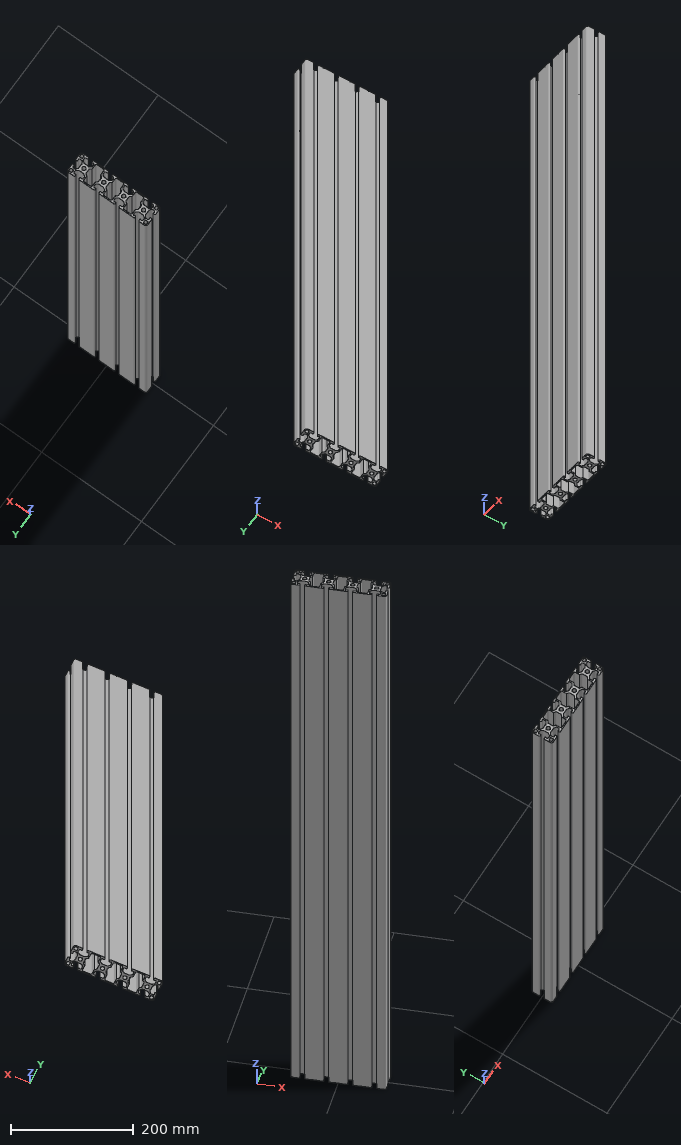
import cadquery as cq

width = 160.0
depth = 40.0
length = 1000.0
corner_radius = 4.0

pitch = depth
cell_count = round(width / pitch)
half_width = width / 2
half_depth = depth / 2
cell_centers = [(i - (cell_count - 1) / 2) * pitch for i in range(cell_count)]
hollow_centers = [(i - (cell_count - 2) / 2) * pitch for i in range(cell_count - 1)]

slot_opening = 8.2
slot_depth = 12.7
lip_tip_depth = 4.3
lip_root_depth = 3.5
cavity_width = 18.2
cavity_side_depth = 9.6
cavity_floor_width = 9.7
lip_outer_radius = 1.5
lip_inner_radius = 0.75
cavity_side_radius = 1.7
cavity_floor_radius = 2.4

bore_diameter = 6.7

hollow_wall = 2.1
hollow_waist_width = 24.5
hollow_waist_height = 9.8
hollow_neck_width = 17.1
hollow_neck_start = 7.4
hollow_waist_radius = 2.2
hollow_end_radius = 2.6

corner_hollow_wall = 2.4
corner_hollow_size = 5.6
corner_hollow_radius = 0.7


def extrude_outline(points):
    """Prism of the bar's full length over a closed outline."""
    return cq.Workplane("XY").polyline(points).close().extrude(length / 2, both=True)


def mirrored_in_x(points):
    """The points followed by their mirror images in reverse order."""
    return points + [(-x, y) for x, y in reversed(points)]


def round_edges(prism, points, radius):
    """Fillet the lengthwise edges of a prism that pass through the given points."""
    for x, y in points:
        edge = cq.selectors.NearestToPointSelector((x, y, 0))
        prism = prism.edges("|Z").edges(edge).fillet(radius)
    return prism


def outer_block():
    """Solid bar with rounded long edges."""
    return cq.Workplane("XY").box(width, depth, length).edges("|Z").fillet(corner_radius)


def slot_mouth():
    """Slot opening between the lips, flaring out to the face with rounded lip edges."""
    tip = slot_opening / 2
    flare = tip + lip_outer_radius
    return (
        cq.Workplane("XY")
        .moveTo(-flare, 0)
        .radiusArc((-tip, -lip_outer_radius), lip_outer_radius)
        .lineTo(tip, -lip_outer_radius)
        .radiusArc((flare, 0), lip_outer_radius)
        .close()
        .extrude(length / 2, both=True)
    )


def slot_cavity():
    """T-slot inside: neck, undercut shoulders behind the lips and sides tapering to the floor."""
    neck_edge = (slot_opening / 2, -lip_outer_radius)
    lip_tip = (slot_opening / 2, -lip_tip_depth)
    shoulder = (cavity_width / 2, -lip_root_depth)
    side_end = (cavity_width / 2, -cavity_side_depth)
    floor_end = (cavity_floor_width / 2, -slot_depth)
    cavity = extrude_outline(mirrored_in_x([neck_edge, lip_tip, shoulder, side_end, floor_end]))
    cavity = round_edges(cavity, mirrored_in_x([lip_tip]), lip_inner_radius)
    cavity = round_edges(cavity, mirrored_in_x([shoulder, side_end]), cavity_side_radius)
    return round_edges(cavity, mirrored_in_x([floor_end]), cavity_floor_radius)


def slot_cutter():
    """T-slot whose mouth is centred at the origin and which runs inwards along -Y."""
    return slot_mouth().union(slot_cavity())


def hollow_cutter():
    """Closed chamber, wide at mid-depth and narrower towards the two faces."""
    waist = (hollow_waist_width / 2, hollow_waist_height / 2)
    neck = (hollow_neck_width / 2, hollow_neck_start)
    end = (hollow_neck_width / 2, half_depth - hollow_wall)
    upper_half = mirrored_in_x([waist, neck, end])
    chamber = extrude_outline(upper_half + [(-x, -y) for x, y in upper_half])
    for sign in (1, -1):
        waist_points = mirrored_in_x([(waist[0], sign * waist[1])])
        end_points = mirrored_in_x([(end[0], sign * end[1])])
        chamber = round_edges(chamber, waist_points, hollow_waist_radius)
        chamber = round_edges(chamber, end_points, hollow_end_radius)
    return chamber


def corner_hollow_cutter(x_sign, y_sign):
    """Square channel inside one outer corner of the bar."""
    center_offset = corner_hollow_wall + corner_hollow_size / 2
    x = x_sign * (half_width - center_offset)
    y = y_sign * (half_depth - center_offset)
    channel = cq.Workplane("XY").box(corner_hollow_size, corner_hollow_size, length)
    return channel.edges("|Z").fillet(corner_hollow_radius).translate((x, y, 0))


def cut_slots(bar):
    """T-slots on both wide faces at every cell and one on each narrow side."""
    slot = slot_cutter()
    places = [(half_width, 0, -90), (-half_width, 0, 90)]
    for x in cell_centers:
        places += [(x, half_depth, 0), (x, -half_depth, 180)]
    for x, y, angle in places:
        bar = bar.cut(slot.rotate((0, 0, 0), (0, 0, 1), angle).translate((x, y, 0)))
    return bar


def cut_bores(bar):
    """Round bore through the core of every cell."""
    centers = [(x, 0) for x in cell_centers]
    bores = cq.Workplane("XY").pushPoints(centers).circle(bore_diameter / 2).extrude(length / 2, both=True)
    return bar.cut(bores)


def cut_hollows(bar):
    """Large chambers between the cells and small channels in the four corners."""
    chamber = hollow_cutter()
    for x in hollow_centers:
        bar = bar.cut(chamber.translate((x, 0, 0)))
    for x_sign in (1, -1):
        for y_sign in (1, -1):
            bar = bar.cut(corner_hollow_cutter(x_sign, y_sign))
    return bar


result = cut_hollows(cut_bores(cut_slots(outer_block())))